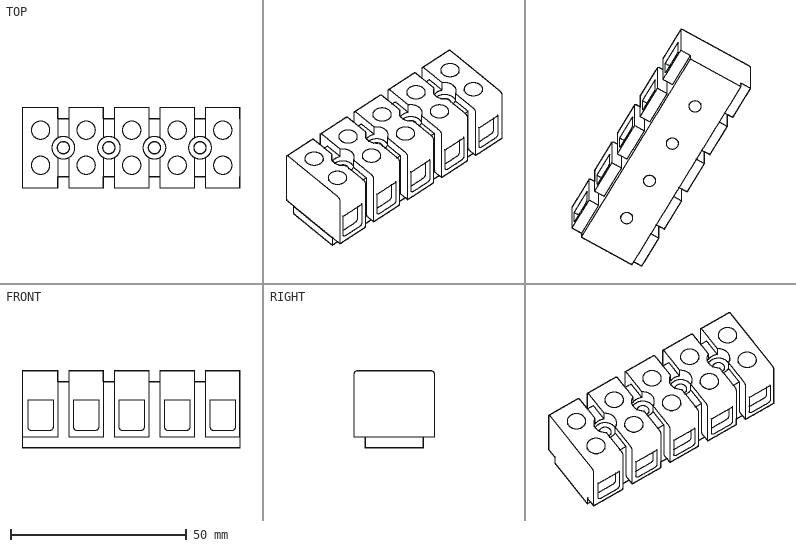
import cadquery as cq

length = 62.2
width = 23.0
height = 22.0

rail_width = 16.7
rail_height = 3.05
end_step = 0.1

block_count = 5
pitch = 13.0
block_center_x = 5.2
slot_width = 3.1
slot_depth = 3.1
edge_radius = 1.0

pocket_width = 7.3
pocket_bottom = 5.0
pocket_top = 13.6
pocket_depth = 2.0
pocket_radius = 1.0

clamp_diameter = 5.2
clamp_spacing = 10.0
clamp_depth = height - pocket_top

mount_diameter = 3.4
mount_bore_diameter = 6.45
mount_bore_depth = 5.0

block_centers = [block_center_x + i * pitch for i in range(block_count)]
gap_centers = [x + pitch / 2 for x in block_centers[:-1]]


def box(x_start, x_end, y_size, z_start, z_end):
    """Box centred on Y between the given X and Z limits."""
    return (
        cq.Workplane("XY", origin=(x_start, 0, z_start))
        .box(x_end - x_start, y_size, z_end - z_start, centered=(False, True, False))
    )


def make_body():
    """Rounded block row on its rail, slotted down to the narrower web."""
    row = box(0, length - end_step, width, rail_height, height)
    row = row.edges("|X and >Z").fillet(edge_radius)
    web = box(0, length - end_step, rail_width, rail_height, height - slot_depth)
    for x in gap_centers:
        row = row.cut(box(x - slot_width / 2, x + slot_width / 2, width, rail_height, height))
    rail = box(0, length, rail_width, 0, rail_height)
    return row.union(web).union(rail)


def make_wire_pocket(x, side):
    """Cutter for one wire pocket with rounded lower corners; side is -1 or 1 along Y."""
    y_inner = width / 2 - pocket_depth
    cutter = (
        cq.Workplane("XY", origin=(x, side * (y_inner + pocket_depth / 2), pocket_bottom))
        .box(pocket_width, pocket_depth, pocket_top - pocket_bottom, centered=(True, True, False))
    )
    return cutter.edges("|Y and <Z").fillet(pocket_radius)


def cut_wire_pockets(body):
    for x in block_centers:
        for side in (-1, 1):
            body = body.cut(make_wire_pocket(x, side))
    return body


def cut_clamp_holes(body):
    points = [(x, side * clamp_spacing / 2) for x in block_centers for side in (-1, 1)]
    cutters = (
        cq.Workplane("XY", origin=(0, 0, height))
        .pushPoints(points)
        .circle(clamp_diameter / 2)
        .extrude(-clamp_depth)
    )
    return body.cut(cutters)


def cut_mounting_holes(body):
    """Through holes with counterbores that also bite into the neighbouring blocks."""
    top = cq.Workplane("XY", origin=(0, 0, height)).pushPoints([(x, 0) for x in gap_centers])
    bores = top.circle(mount_bore_diameter / 2).extrude(-mount_bore_depth)
    holes = top.circle(mount_diameter / 2).extrude(-height)
    return body.cut(bores).cut(holes)


result = cut_mounting_holes(cut_clamp_holes(cut_wire_pockets(make_body())))